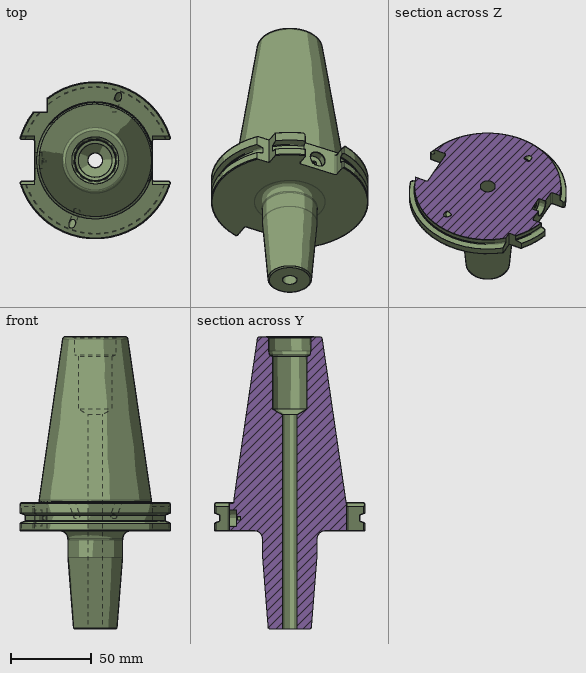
import cadquery as cq
import math


gauge_radius = 34.925
taper_slope = 7 / 48
shank_top_z = 101.6
shank_top_radius = gauge_radius - taper_slope * shank_top_z
shank_rounding = 1.9

flange_radius = 48.75
flange_top_z = -1.5
flange_bottom_z = -19.1
flange_chamfer = 0.5
groove_center_z = -11.1
groove_floor_width = 3.75
groove_mouth_width = 6.4
groove_floor_radius = 45.4
groove_fillet = 0.6

relief_outer_radius = 36.4
relief_depth = 0.3
relief_fillet = 0.9

nose_tip_z = -80.0
nose_radius = 17.0
nose_tip_radius = 13.5
nose_cone_angle = 4.5
nose_tip_chamfer = 0.8
nose_cone_top_z = nose_tip_z + (nose_radius - nose_tip_radius) / math.tan(math.radians(nose_cone_angle))
neck_radius = 17.15
neck_fillet = 4.8
neck_taper_height = 0.9
neck_bottom_z = flange_bottom_z - neck_fillet - neck_taper_height

bore_chamfer_radius = 14.6
bore_chamfer_height = 0.85
pilot_radius = 13.0
pilot_depth = 9.0
pilot_end_radius = 12.5
pilot_end_depth = 11.5
thread_radius = 10.5
thread_start_depth = 12.3
thread_depth = 45.0
through_radius = 4.5
thread_cone_angle = 60

slot_half_width = 12.85
slot_floor_minus_x = 37.7
slot_floor_plus_x = 35.5
slot_corner_radius = 0.9
slot_top_chamfer = 2.25
slot_rim_chamfer = 0.95
slot_overrun = 1.0

notch_corner_x = -29.8
notch_corner_y = 29.9

chip_hole_radius = 5.0
chip_hole_z = groove_center_z
chip_hole_depth = 4.6
chip_hole_chamfer = 0.2
chip_center_radius = 0.9
chip_center_chamfer = 0.6
chip_center_depth = 2.5

coolant_circle_radius = 41.9
coolant_angle = 70
coolant_radius = 2.0
coolant_tilt = 45
coolant_depth = 12.0


def make_body():
    """Turned outside of the shank, flange and nose."""
    floor_half = groove_floor_width / 2
    mouth_half = groove_mouth_width / 2
    relief_floor_z = flange_top_z - relief_depth
    tip_chamfer_z = nose_tip_z + nose_tip_chamfer
    tip_chamfer_radius = nose_tip_radius + nose_tip_chamfer * math.tan(math.radians(nose_cone_angle))
    profile = (
        cq.Workplane("XZ")
        .moveTo(0, shank_top_z)
        .lineTo(shank_top_radius, shank_top_z)
        .lineTo(gauge_radius, 0)
        .lineTo(gauge_radius, relief_floor_z + relief_fillet)
        .radiusArc((gauge_radius + relief_fillet, relief_floor_z), -relief_fillet)
        .lineTo(relief_outer_radius, relief_floor_z)
        .lineTo(relief_outer_radius, flange_top_z)
        .lineTo(flange_radius - flange_chamfer, flange_top_z)
        .lineTo(flange_radius, flange_top_z - flange_chamfer)
        .lineTo(flange_radius, groove_center_z + mouth_half)
        .lineTo(groove_floor_radius, groove_center_z + floor_half)
        .lineTo(groove_floor_radius, groove_center_z - floor_half)
        .lineTo(flange_radius, groove_center_z - mouth_half)
        .lineTo(flange_radius, flange_bottom_z + flange_chamfer)
        .lineTo(flange_radius - flange_chamfer, flange_bottom_z)
        .lineTo(neck_radius + neck_fillet, flange_bottom_z)
        .radiusArc((neck_radius, flange_bottom_z - neck_fillet), -neck_fillet)
        .lineTo(nose_radius, neck_bottom_z)
        .lineTo(nose_radius, nose_cone_top_z)
        .lineTo(tip_chamfer_radius, tip_chamfer_z)
        .lineTo(nose_tip_radius - nose_tip_chamfer, nose_tip_z)
        .lineTo(0, nose_tip_z)
        .close()
    )
    body = profile.revolve(360, (0, 0, 0), (0, 1, 0))
    body = body.faces(">Z").edges().fillet(shank_rounding)
    groove_floor_zone = cq.selectors.BoxSelector(
        (-flange_radius, -flange_radius, groove_center_z - mouth_half / 2 - floor_half / 2),
        (flange_radius, flange_radius, groove_center_z + mouth_half / 2 + floor_half / 2),
        boundingbox=True,
    )
    return body.edges("%CIRCLE").edges(groove_floor_zone).fillet(groove_fillet)


def make_bore():
    """Stepped pull-stud bore with a conical bottom and a through hole."""
    thread_z = shank_top_z - thread_depth
    cone_z = thread_z - (thread_radius - through_radius) / math.tan(math.radians(thread_cone_angle))
    profile = (
        cq.Workplane("XZ")
        .moveTo(0, shank_top_z)
        .lineTo(bore_chamfer_radius, shank_top_z)
        .lineTo(pilot_radius, shank_top_z - bore_chamfer_height)
        .lineTo(pilot_radius, shank_top_z - pilot_depth)
        .lineTo(pilot_end_radius, shank_top_z - pilot_end_depth)
        .lineTo(thread_radius, shank_top_z - thread_start_depth)
        .lineTo(thread_radius, thread_z)
        .lineTo(through_radius, cone_z)
        .lineTo(through_radius, nose_tip_z)
        .lineTo(0, nose_tip_z)
        .close()
    )
    return profile.revolve(360, (0, 0, 0), (0, 1, 0))


def make_slot(floor_x, side):
    """Driving slot open towards +X (side = 1) or -X (side = -1), with its entry chamfers."""
    outer_x = flange_radius + slot_overrun
    height = flange_top_z - flange_bottom_z
    slot = (
        cq.Workplane("XY", origin=(0, 0, flange_bottom_z))
        .center((floor_x + outer_x) / 2, 0)
        .rect(outer_x - floor_x, 2 * slot_half_width)
        .extrude(height)
        .edges("|Z and <X")
        .fillet(slot_corner_radius)
    )
    top_flare = (
        cq.Workplane("YZ", origin=(floor_x, 0, 0))
        .moveTo(-slot_half_width - slot_top_chamfer, flange_top_z)
        .lineTo(slot_half_width + slot_top_chamfer, flange_top_z)
        .lineTo(slot_half_width, flange_top_z - slot_top_chamfer)
        .lineTo(-slot_half_width, flange_top_z - slot_top_chamfer)
        .close()
        .extrude(outer_x - floor_x)
    )
    rim_y = slot_half_width + slot_rim_chamfer
    rim_x = math.sqrt(flange_radius**2 - rim_y**2)
    flare_growth = outer_x - rim_x
    rim_flare = (
        cq.Workplane("XY", origin=(0, 0, flange_bottom_z))
        .moveTo(rim_x - slot_rim_chamfer, -slot_half_width)
        .lineTo(outer_x, -rim_y - flare_growth)
        .lineTo(outer_x, rim_y + flare_growth)
        .lineTo(rim_x - slot_rim_chamfer, slot_half_width)
        .close()
        .extrude(height)
    )
    slot = slot.union(top_flare).union(rim_flare)
    if side < 0:
        slot = slot.mirror("YZ")
    return slot


def make_notch():
    """Square orientation notch through the full flange thickness."""
    reach = flange_radius
    height = flange_top_z - flange_bottom_z
    notch = cq.Workplane("XY").box(reach, reach, height, centered=False)
    return notch.translate((notch_corner_x - reach, notch_corner_y, flange_bottom_z))


def countersunk_hole(plane, radius, depth, chamfer):
    """Flat-bottomed hole drilled from the given workplane; the radius is that of the bore."""
    bore = plane.circle(radius).extrude(depth)
    countersink = plane.circle(radius + chamfer).workplane(offset=chamfer).circle(radius).loft()
    return bore.union(countersink)


def make_chip_hole():
    """Data-chip hole running inwards from the -X slot floor, with a small centre hole in its bottom."""
    slot_floor = cq.Workplane("YZ", origin=(-slot_floor_minus_x, 0, chip_hole_z))
    hole_bottom = slot_floor.workplane(offset=chip_hole_depth)
    hole = countersunk_hole(slot_floor, chip_hole_radius, chip_hole_depth, chip_hole_chamfer)
    center_hole = countersunk_hole(hole_bottom, chip_center_radius, chip_center_depth, chip_center_chamfer)
    return hole.union(center_hole)


def make_coolant_hole(angle):
    """Blind hole that enters the flange face and leans towards the axis."""
    tilt = math.radians(coolant_tilt)
    direction = cq.Vector(-math.sin(tilt), 0, -math.cos(tilt))
    entry = cq.Vector(coolant_circle_radius, 0, flange_top_z)
    lead_in = coolant_radius * 2
    hole = cq.Solid.makeCylinder(coolant_radius, coolant_depth + lead_in, entry - direction * lead_in, direction)
    return cq.Workplane(hole).rotate((0, 0, 0), (0, 0, 1), angle)


result = make_body().cut(make_bore())
result = result.cut(make_slot(slot_floor_plus_x, 1)).cut(make_slot(slot_floor_minus_x, -1))
result = result.cut(make_notch()).cut(make_chip_hole())
for turn in (0, 180):
    result = result.cut(make_coolant_hole(coolant_angle + turn))